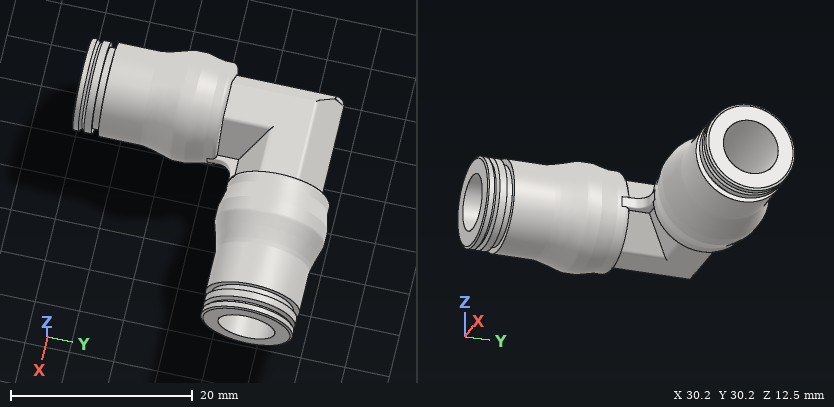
import cadquery as cq
import math

overall_length = 30.22
bulge_radius = 6.23
arm_end = overall_length - bulge_radius

collar_start = 7.6
collar_radius = 5.77
collar_edge_fillet = 0.55
collar_end = 9.05
bulge_start = 11.03
bulge_end = 12.5
taper_start = 12.7
taper_start_radius = 6.2
taper_middle = 14.15
taper_middle_radius = 5.77
taper_end = 15.6
taper_end_radius = 5.4
sleeve_start = 16.15
sleeve_radius = 5.32
sleeve_end = 20.97

neck_radius = 4.62
ring_start = 21.8
ring_radius = 5.2
groove_start = 22.63
groove_end = 23.27
groove_depth = 0.35
rim_chamfer_length = 0.12
rim_chamfer_depth = 0.27

body_half_height = 4.47
body_flat_half_width = 2.18
body_outer_vertex = 4.93
body_inner_vertex = 5.68
body_flat_fillet = 0.6
body_outer_fillet = 1.27
corner_axis_offset = 3.7
body_end = 9.07

web_half_thickness = 0.65
web_edge_fillet = 0.18
web_reach = collar_radius
web_corner_radius = 1.42
web_end = 8.58

tube_radius = 3.2
tube_depth = 11.48
bore_radius = 2.57
drill_point_angle = 118.0


def second_arm(solid):
    """Turn a shape made for the +X arm onto the -Y arm."""
    return solid.rotate((0, 0, 0), (1, -1, 0), 180)


def both_arms(solid):
    return solid.union(second_arm(solid))


def make_socket():
    """Turned outside of one socket, along +X."""
    groove_middle = (groove_start + groove_end) / 2
    arc_inset = collar_edge_fillet * (1 - math.sqrt(0.5))
    return (
        cq.Workplane("XY")
        .moveTo(collar_start, 0)
        .lineTo(collar_start, collar_radius - collar_edge_fillet)
        .threePointArc(
            (collar_start + arc_inset, collar_radius - arc_inset),
            (collar_start + collar_edge_fillet, collar_radius),
        )
        .lineTo(collar_end, collar_radius)
        .lineTo(bulge_start, bulge_radius)
        .lineTo(bulge_end, bulge_radius)
        .lineTo(taper_start, taper_start_radius)
        .lineTo(taper_middle, taper_middle_radius)
        .lineTo(taper_end, taper_end_radius)
        .lineTo(sleeve_start, sleeve_radius)
        .lineTo(sleeve_end, sleeve_radius)
        .lineTo(sleeve_end, neck_radius)
        .lineTo(ring_start, neck_radius)
        .lineTo(ring_start, ring_radius)
        .lineTo(groove_start, ring_radius)
        .lineTo(groove_middle, ring_radius - groove_depth)
        .lineTo(groove_end, ring_radius)
        .lineTo(arm_end - rim_chamfer_length, ring_radius)
        .lineTo(arm_end, ring_radius - rim_chamfer_depth)
        .lineTo(arm_end, 0)
        .close()
        .revolve(360, (0, 0, 0), (1, 0, 0))
    )


def make_body_bar():
    """Straight bar with the body section; local x of the section is +Y."""
    section = [
        (body_outer_vertex, 0),
        (body_flat_half_width, body_half_height),
        (-body_flat_half_width, body_half_height),
        (-body_inner_vertex, 0),
        (-body_flat_half_width, -body_half_height),
        (body_flat_half_width, -body_half_height),
    ]
    bar_start = -body_inner_vertex
    bar = (
        cq.Workplane("YZ", origin=(bar_start, 0, 0))
        .polyline(section)
        .close()
        .extrude(body_end - bar_start)
    )
    bar = bar.faces("<Z or >Z").edges("|X").fillet(body_flat_fillet)
    return bar.edges("|X").edges(">Y").fillet(body_outer_fillet)


def make_body():
    """Two bars mitred at the bend, with the outer corner turned round."""
    bar = make_body_bar()
    height = 2 * body_half_height
    mitre_side = (
        cq.Workplane("XY")
        .polyline([(-body_end, body_end), (body_end, -body_end), (body_end, body_end)])
        .close()
        .extrude(height / 2, both=True)
    )
    body = both_arms(bar.intersect(mitre_side))

    corner_block = cq.Workplane("XY").box(body_end, body_end, height)
    corner_shift = corner_axis_offset + body_end / 2
    body = body.cut(corner_block.translate((-corner_shift, corner_shift, 0)))

    slant = math.atan2(body_outer_vertex - body_flat_half_width, body_half_height)
    fillet_center = body_outer_vertex - body_outer_fillet / math.cos(slant)
    nose = fillet_center + body_outer_fillet - corner_axis_offset
    tangent_offset = fillet_center + body_outer_fillet * math.cos(slant) - corner_axis_offset
    tangent_height = body_outer_fillet * math.sin(slant)
    apex_height = (body_outer_vertex - corner_axis_offset) / math.tan(slant)
    corner = (
        cq.Workplane("XZ")
        .moveTo(0, -apex_height)
        .lineTo(tangent_offset, -tangent_height)
        .threePointArc((nose, 0), (tangent_offset, tangent_height))
        .lineTo(0, apex_height)
        .close()
        .revolve(360, (0, 0, 0), (0, 1, 0))
    )
    return body.union(corner.translate((-corner_axis_offset, corner_axis_offset, 0)))


def make_web():
    """Flat web in the bend, with a concave corner and rounded outer edges."""
    arc_start = web_reach + web_corner_radius
    arc_middle = arc_start - web_corner_radius * math.sqrt(0.5)
    web = (
        cq.Workplane("XY")
        .lineTo(web_end, 0)
        .lineTo(web_end, -web_reach)
        .lineTo(arc_start, -web_reach)
        .threePointArc((arc_middle, -arc_middle), (web_reach, -arc_start))
        .lineTo(web_reach, -web_end)
        .lineTo(0, -web_end)
        .close()
        .extrude(web_half_thickness, both=True)
    )
    bend_region = cq.selectors.BoxSelector(
        (web_reach - web_edge_fillet, -web_end, -body_half_height),
        (web_end, web_edge_fillet - web_reach, body_half_height),
    )
    outline_edges = web.faces("<Z or >Z").edges(bend_region)
    return outline_edges.fillet(web_edge_fillet)


def make_passage():
    """Tube socket and drilled hole of one arm, along +X."""
    drill_tip = bore_radius / math.tan(math.radians(drill_point_angle / 2))
    shoulder = arm_end - tube_depth
    return (
        cq.Workplane("XY")
        .moveTo(-drill_tip, 0)
        .lineTo(0, bore_radius)
        .lineTo(shoulder, bore_radius)
        .lineTo(shoulder, tube_radius)
        .lineTo(arm_end, tube_radius)
        .lineTo(arm_end, 0)
        .close()
        .revolve(360, (0, 0, 0), (1, 0, 0))
    )


outside = make_body().union(make_web()).union(both_arms(make_socket()))
result = outside.cut(both_arms(make_passage()))